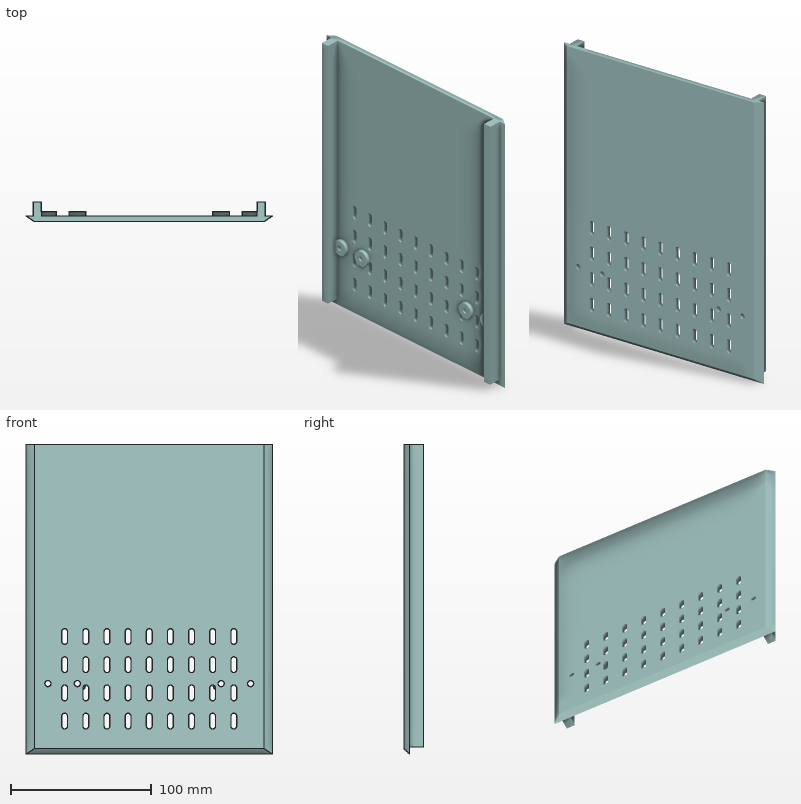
import cadquery as cq

panel_width = 175.0
panel_height = 219.8
total_depth = 14.0
plate_thickness = 4.2
side_bevel_width = 6.0
bottom_bevel_height = 4.0

rail_width = 6.0
rail_edge_offset = 5.0
rail_bottom_gap = 5.0

slot_columns = 9
slot_rows = 4
slot_column_span = 120.0
slot_column_pitch = slot_column_span / (slot_columns - 1)
slot_row_pitch = 20.0
slot_width = 4.0
slot_length = 11.0
lowest_slot_height = 23.5

boss_diameter = 12.0
boss_height = 3.0
screw_hole_diameter = 4.2
screw_height = 50.1
inner_screw_x = 51.0
outer_screw_x = 71.9

front_y = 0.0
plate_back_y = front_y + plate_thickness
rail_back_y = front_y + total_depth
boss_back_y = plate_back_y + boss_height

screw_points = [
    (side * screw_x, screw_height)
    for side in (-1, 1)
    for screw_x in (inner_screw_x, outer_screw_x)
]


def facing_back(y):
    """XZ workplane at depth y; a negative extrusion goes toward +Y."""
    return cq.Workplane("XZ", origin=(0, y, 0))


def bevelled_plate():
    """Plate whose sides and bottom slope inward toward the front face."""
    half_back = panel_width / 2
    half_front = half_back - side_bevel_width
    side_bevelled = (
        cq.Workplane("XY")
        .polyline([
            (-half_back, plate_back_y),
            (half_back, plate_back_y),
            (half_front, front_y),
            (-half_front, front_y),
        ])
        .close()
        .extrude(panel_height)
    )
    bottom_wedge = (
        cq.Workplane("YZ")
        .polyline([(front_y, 0), (plate_back_y, 0), (front_y, bottom_bevel_height)])
        .close()
        .extrude(half_back, both=True)
    )
    return side_bevelled.cut(bottom_wedge)


def rails():
    """Two upright bars, one near each side edge."""
    rail_x = panel_width / 2 - rail_edge_offset - rail_width / 2
    rail_height = panel_height - rail_bottom_gap
    return (
        facing_back(plate_back_y)
        .pushPoints([(side * rail_x, rail_bottom_gap + rail_height / 2) for side in (-1, 1)])
        .rect(rail_width, rail_height)
        .extrude(plate_back_y - rail_back_y)
    )


def vent_slots():
    """Grid of upright round-ended slots, as deep as the plate."""
    grid_middle = lowest_slot_height + (slot_rows - 1) * slot_row_pitch / 2
    return (
        facing_back(front_y)
        .center(0, grid_middle)
        .rarray(slot_column_pitch, slot_row_pitch, slot_columns, slot_rows)
        .slot2D(slot_length, slot_width, 90)
        .extrude(-plate_thickness)
    )


def discs(diameter, start_y, end_y):
    """Round cylinders along Y at the screw positions."""
    return facing_back(start_y).pushPoints(screw_points).circle(diameter / 2).extrude(start_y - end_y)


result = (
    bevelled_plate()
    .cut(vent_slots())
    .union(rails())
    .union(discs(boss_diameter, plate_back_y, boss_back_y))
    .cut(discs(screw_hole_diameter, front_y, boss_back_y))
)